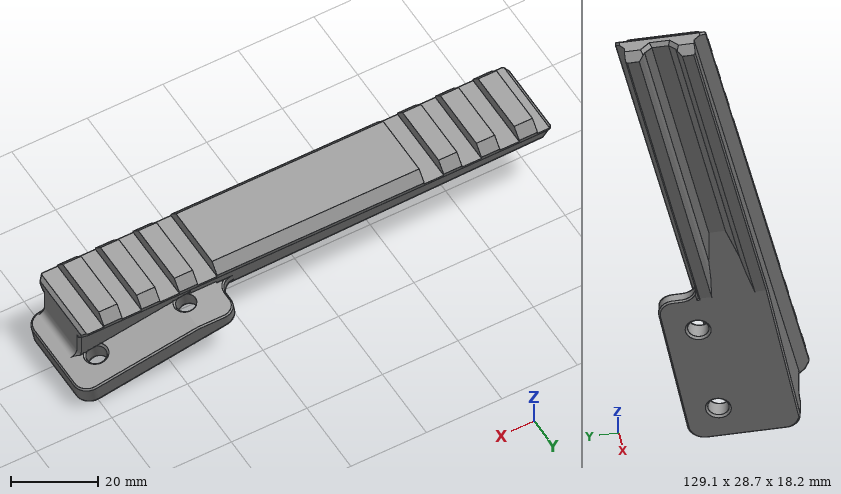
import cadquery as cq
import math


total_length = 129.1
total_width = 28.7
total_height = 18.2

rail_length = 124.4
rail_width = 21.0
slot_floor_z = 15.2
rail_upper_bevel_z = 15.6
rail_lower_bevel_z = 14.7
rail_side_bevel = 2.3
rail_end_chamfer = 0.9
rail_corner_chamfer = 1.2
first_lug_x = 4.1
last_lug_x = 114.2
slot_length = 5.2
small_lugs = (0, 1, 2, 9, 10, 11)
long_lug_first = 3
long_lug_last = 8
lug_pitch = (last_lug_x - first_lug_x) / small_lugs[-1]
lug_length = lug_pitch - slot_length

body_y_min = 2.5
body_y_max = rail_width - rail_side_bevel
body_top_z = rail_lower_bevel_z - rail_side_bevel
body_bottom_left_z = 9.4
body_end_chamfer_x = 1.7
body_end_chamfer_z = 2.1
body_corner_chamfer = 0.8
wall_fillet = 1.8
edge_chamfer = 0.4

plate_angle = math.radians(10.2)
plate_thickness = 4.9
plate_start_x = 87.0
plate_flat_z = 10.3
plate_corner_radius = 3.9
plate_blend_radius = 3.9

hole_centers_x = (97.0, 120.7)
hole_y = 20.5
hole_diameter = 4.9
hole_chamfer = 0.5

groove_y = rail_width / 2
groove_depth = 3.0
groove_roof_half_width = 2.0
groove_shoulder_half_width = 3.6
groove_shoulder_depth = 1.7
groove_wall_half_width = 4.1
groove_mouth_half_width = 5.0
groove_lip_depth = 0.9
groove_overshoot = 0.6
groove_mouth_chamfer = 0.8
groove_lead_in = 0.5

sin_plate = math.sin(plate_angle)
cos_plate = math.cos(plate_angle)
tan_plate = math.tan(plate_angle)
tip_x = total_length - (plate_thickness - edge_chamfer) * sin_plate
tip_z = -edge_chamfer * sin_plate
plate_length = (tip_x - plate_start_x) / cos_plate
plate_start_z = tip_z + (tip_x - plate_start_x) * tan_plate
gentle_slope = (plate_start_z - body_bottom_left_z) / plate_start_x

tilted = cq.Plane(
    origin=(plate_start_x, body_y_min, plate_start_z),
    xDir=(cos_plate, 0, -sin_plate),
    normal=(sin_plate, 0, cos_plate),
)


def plate_bottom_z(x):
    """Height of the plate's underside plane at x."""
    return tip_z + (tip_x - x) * tan_plate


def plate_top_z(x):
    """Height of the plate's tilted upper plane at x."""
    return plate_bottom_z(x) + plate_thickness / cos_plate


def extrude_along_y(profile, y_min, y_max):
    """Extrude a closed XZ profile between two y positions."""
    return profile.extrude(y_min - y_max).translate((0, y_min, 0))


def make_rail_base():
    """Continuous lower part of the rail, up to the slot floor."""
    side_section = [
        (body_y_min, body_top_z),
        (0, rail_lower_bevel_z),
        (0, slot_floor_z),
        (rail_width, slot_floor_z),
        (rail_width, rail_lower_bevel_z),
        (body_y_max, body_top_z),
    ]
    base = cq.Workplane("YZ").polyline(side_section).close().extrude(rail_length)
    base = base.edges("|Z").chamfer(rail_corner_chamfer)
    return base.faces(">Z").edges("|Y").chamfer(rail_end_chamfer)


def make_lug(x_start, length):
    """One raised lug with bevelled sides."""
    section = [
        (0, slot_floor_z),
        (rail_width, slot_floor_z),
        (rail_width, rail_upper_bevel_z),
        (rail_width - rail_side_bevel, total_height),
        (rail_side_bevel, total_height),
        (0, rail_upper_bevel_z),
    ]
    return cq.Workplane("YZ", origin=(x_start, 0, 0)).polyline(section).close().extrude(length)


def make_body():
    """Riser wedge with a filleted foot at the plate and a chamfered left end."""
    tangent_length = wall_fillet * math.tan((math.pi / 2 - plate_angle) / 2)
    wall_foot_z = plate_top_z(rail_length)
    fillet_end_x = rail_length + tangent_length * cos_plate
    profile = (
        cq.Workplane("XZ")
        .moveTo(0, body_top_z)
        .lineTo(0, body_bottom_left_z)
        .lineTo(plate_start_x, plate_start_z)
        .lineTo(fillet_end_x, plate_bottom_z(fillet_end_x))
        .lineTo(fillet_end_x, plate_top_z(fillet_end_x))
        .radiusArc((rail_length, wall_foot_z + tangent_length), wall_fillet)
        .lineTo(rail_length, body_top_z)
        .close()
    )
    body = extrude_along_y(profile, body_y_min, body_y_max)
    for slope in (gentle_slope, -tan_plate):
        along_underside = cq.selectors.ParallelDirSelector(cq.Vector(1, 0, slope))
        body = body.edges(along_underside).chamfer(edge_chamfer)
    wall_corners = cq.selectors.BoxSelector(
        (rail_length - edge_chamfer, 0, wall_foot_z),
        (rail_length + edge_chamfer, rail_width, body_top_z),
    )
    body = body.edges("|Z").edges(wall_corners).chamfer(body_corner_chamfer)
    end_wedge = (
        cq.Workplane("XZ")
        .moveTo(0, body_bottom_left_z + body_end_chamfer_z)
        .lineTo(body_end_chamfer_x, body_bottom_left_z)
        .lineTo(body_end_chamfer_x, 0)
        .lineTo(0, 0)
        .close()
    )
    body = body.cut(extrude_along_y(end_wedge, 0, rail_width))
    return body.cut(make_tip_corner_waste())


def make_tip_corner_waste():
    """Material outside the rounded -Y corner at the plate's tip."""
    radius = plate_corner_radius
    return (
        cq.Workplane(tilted)
        .moveTo(plate_length - radius, 0)
        .radiusArc((plate_length, radius), -radius)
        .lineTo(plate_length, 0)
        .close()
        .extrude(2 * plate_thickness)
    )


def make_plate():
    """Rounded slab laid on the tilted plane, blended into the +Y side of the body."""
    width = total_width - body_y_min
    radius = plate_corner_radius
    blend = plate_blend_radius
    body_side = body_y_max - body_y_min
    slab = (
        cq.Workplane(tilted)
        .lineTo(plate_length - radius, 0)
        .radiusArc((plate_length, radius), -radius)
        .lineTo(plate_length, width - radius)
        .radiusArc((plate_length - radius, width), -radius)
        .lineTo(radius, width)
        .radiusArc((0, width - radius), -radius)
        .lineTo(0, body_side + blend)
        .radiusArc((-blend, body_side), blend)
        .lineTo(0, body_side)
        .close()
        .extrude(plate_thickness)
    )
    underside = cq.selectors.DirectionMinMaxSelector(tilted.zDir, directionMax=False)
    slab = slab.faces(underside).edges().chamfer(edge_chamfer)
    above_flat = (
        cq.Workplane("XY", origin=(plate_start_x, hole_y, plate_flat_z))
        .rect(2 * plate_length, 2 * total_width)
        .extrude(total_height)
    )
    slab = slab.cut(above_flat)
    crease_x = tip_x - (plate_flat_z - tip_z - plate_thickness / cos_plate) / tan_plate
    crease = cq.selectors.BoxSelector(
        (crease_x - edge_chamfer, body_y_min, plate_flat_z - edge_chamfer),
        (crease_x + edge_chamfer, total_width, plate_flat_z + edge_chamfer),
    )
    tilted_top = cq.selectors.DirectionMinMaxSelector(tilted.zDir, directionMax=True)
    flat_top = cq.selectors.DirectionMinMaxSelector(cq.Vector(0, 0, 1), directionMax=True)
    upper_faces = slab.faces(cq.selectors.SumSelector(flat_top, tilted_top))
    return upper_faces.edges(cq.selectors.InverseSelector(crease)).chamfer(edge_chamfer)


def make_groove():
    """Arched groove parallel to the gentle underside, running out on the plate's underside plane."""

    def arch(growth):
        right_side = [
            (groove_mouth_half_width + growth + groove_overshoot, -groove_overshoot),
            (groove_wall_half_width + growth, groove_lip_depth),
            (groove_shoulder_half_width + growth, groove_shoulder_depth + growth / 2),
            (groove_roof_half_width + growth / 2, groove_depth + growth),
        ]
        left_side = [(-half_width, depth) for half_width, depth in reversed(right_side)]
        return right_side + left_side

    along_underside = cq.Vector(1, 0, gentle_slope)
    start_z = body_bottom_left_z - groove_lead_in * gentle_slope
    left_end = cq.Plane(origin=(-groove_lead_in, groove_y, start_z), xDir=(0, 1, 0), normal=along_underside)
    mouth_growth = groove_mouth_chamfer + groove_lead_in
    channel = cq.Workplane(left_end).polyline(arch(0)).close().extrude(plate_start_x + 2 * groove_lead_in)
    mouth = (
        cq.Workplane(left_end)
        .polyline(arch(mouth_growth))
        .close()
        .workplane(offset=mouth_growth)
        .polyline(arch(0))
        .close()
        .loft(ruled=True)
    )
    below_plate_plane = (
        cq.Workplane("XZ")
        .moveTo(-groove_lead_in, 0)
        .lineTo(-groove_lead_in, plate_bottom_z(-groove_lead_in))
        .lineTo(plate_start_x, plate_start_z)
        .lineTo(plate_start_x, 0)
        .close()
    )
    return channel.union(mouth).intersect(extrude_along_y(below_plate_plane, 0, rail_width))


def make_hole(x):
    """Hole square to the plate with both rims chamfered; x is where its axis meets the tilted top."""
    radius = hole_diameter / 2
    rim_radius = radius + hole_chamfer
    half_section = [
        (0, 0),
        (rim_radius, 0),
        (radius, -hole_chamfer),
        (radius, hole_chamfer - plate_thickness),
        (rim_radius, -plate_thickness),
        (0, -plate_thickness),
    ]
    across_plate = cq.Plane(
        origin=(x, hole_y, plate_top_z(x)),
        xDir=(cos_plate, 0, -sin_plate),
        normal=(0, -1, 0),
    )
    return cq.Workplane(across_plate).polyline(half_section).close().revolve(360, (0, 0), (0, 1))


result = make_rail_base().union(make_body()).union(make_plate()).cut(make_groove())
for hole_x in hole_centers_x:
    result = result.cut(make_hole(hole_x))
for index in small_lugs:
    result = result.union(make_lug(first_lug_x + index * lug_pitch, lug_length))
long_lug_length = (long_lug_last - long_lug_first) * lug_pitch + lug_length
result = result.union(make_lug(first_lug_x + long_lug_first * lug_pitch, long_lug_length))